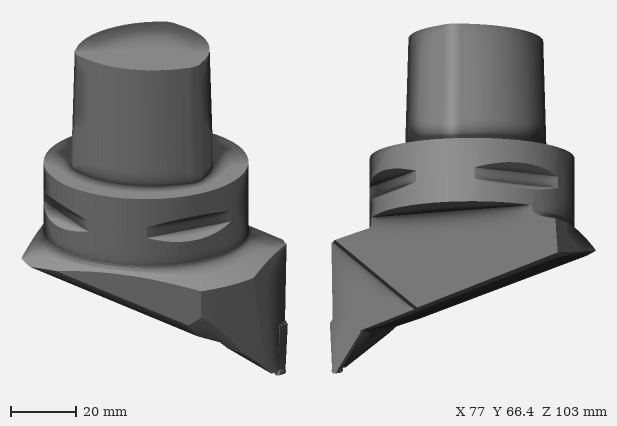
import cadquery as cq
import math


shank_height = 37.9
shank_taper = 1.1
lobe_radius = 23.5
flank_radius = 20.5
junction_radius = 22.8
junction_angle = 8.8

flange_radius = 63.0 / 2
flange_height = 22.0
groove_count = 4
groove_flat_distance = 27.9
groove_z = -11.0
groove_floor_half = 1.8
groove_mouth_half = 4.0

head_radius = 44.9
cone_angle = math.radians(15)
cone_start_z = -22.9
head_bottom = -68.0
head_left_x = -32.1
head_front_y = -34.9
cutter_size = 309.0

insert_edge = 14.6
insert_thickness = 5.0
insert_point_angle = 36.0
insert_lean = 2.5
insert_relief = 6.0
nose_radius = 0.9
nose_half_width = 0.7
nose_centre = (44.0, 0.2, -64.2)

rear_normal = (0.094, 1.0, -0.25)
rear_point = (head_left_x, 19.3, -24.4)
rear_cut_top = -19.9


def half_space(point, normal):
    """Large block lying on the side of a plane that its normal points to."""
    plane = cq.Plane(origin=point, normal=normal)
    return cq.Workplane(plane).rect(cutter_size, cutter_size).extrude(cutter_size)


def polar(radius, degrees):
    angle = math.radians(degrees)
    return (radius * math.cos(angle), radius * math.sin(angle))


def lobed_outline(workplane, inset):
    """Closed outline of three lobe arcs and three flank arcs."""
    joint = junction_radius - inset
    outline = workplane.moveTo(*polar(joint, 90 - junction_angle))
    for crown in (90, 210, 330):
        outline = outline.threePointArc(
            polar(lobe_radius - inset, crown), polar(joint, crown + junction_angle))
        outline = outline.threePointArc(
            polar(flank_radius - inset, crown + 60), polar(joint, crown + 120 - junction_angle))
    return outline.close()


def make_shank():
    root = lobed_outline(cq.Workplane("XY"), 0)
    return lobed_outline(root.workplane(offset=shank_height), shank_taper).loft(ruled=True)


def make_turned_blank():
    """Flange, neck fillet, cone and cylinder as one revolved shape."""
    rim_z = cone_start_z - math.tan(cone_angle) * (head_radius - flange_radius)
    neck_tangent = -cone_start_z - flange_height
    neck_end = (
        flange_radius + neck_tangent * math.cos(cone_angle),
        cone_start_z - neck_tangent * math.sin(cone_angle),
    )
    return (
        cq.Workplane("XZ")
        .lineTo(flange_radius, 0)
        .lineTo(flange_radius, -flange_height)
        .tangentArcPoint(neck_end, relative=False)
        .lineTo(head_radius, rim_z)
        .lineTo(head_radius, head_bottom)
        .lineTo(0, head_bottom)
        .close()
        .revolve(360, (0, 0), (0, 1))
    )


def make_gripper_groove():
    """Flared groove that cuts a flat across the flange on the +X side."""
    depth = flange_radius - groove_flat_distance
    overcut = 2.1
    flare = (groove_mouth_half - groove_floor_half) / depth * overcut
    outer_half = groove_mouth_half + flare
    outer_x = flange_radius + overcut
    return (
        cq.Workplane("XZ")
        .polyline([
            (groove_flat_distance, groove_z - groove_floor_half),
            (groove_flat_distance, groove_z + groove_floor_half),
            (outer_x, groove_z + outer_half),
            (outer_x, groove_z - outer_half),
        ])
        .close()
        .extrude(flange_radius, both=True)
    )


def cut_head_sides(body):
    """Flat left and front walls and the steep wall on the cutting side."""
    below_flange = (
        cq.Workplane("XY").workplane(offset=-flange_height)
        .rect(cutter_size, cutter_size).extrude(-cutter_size)
    )
    left = half_space((head_left_x, 0, 0), (-1, 0, 0))
    front = half_space((0, head_front_y, 0), (0, -1, 0))
    cutting_side = half_space((40.4, -20.1, -26.5), (1, -0.06, 0.07))
    for cutter in (left, front, cutting_side):
        body = body.cut(cutter.intersect(below_flange))
    return body


def cut_head_underside(body):
    """Sloping underside, the steeper flank of the prow and the planes between them."""
    underside = half_space((head_left_x, 16.8, -34.6), (-0.314, -0.21, -1))
    prow_flank = half_space((34.7, -1.1, -52.1), (-1.19, -0.14, -1))
    body = body.cut(underside.intersect(prow_flank))

    chamfer_corner = (24.1, head_front_y, -38.2)
    front_chamfer = half_space(chamfer_corner, (-0.31, -1.27, -1))
    corner_chamfer = half_space(chamfer_corner, (0.72, -1.94, -1))
    prow_corner = (0, -10.3, -61.2)
    prow_front = half_space(prow_corner, (0, -0.84, -1))
    prow_bottom = half_space(prow_corner, (0, -0.27, -1))
    for cutter in (front_chamfer, corner_chamfer, prow_front, prow_bottom):
        body = body.cut(cutter)
    return body


def cut_head_rear(body):
    """Inclined rear face and the chip recess in front of the rake face."""
    below_step = (
        cq.Workplane("XY").workplane(offset=rear_cut_top)
        .rect(cutter_size, cutter_size).extrude(-cutter_size)
    )
    body = body.cut(half_space(rear_point, rear_normal).intersect(below_step))
    recess_wall = half_space((15.2, 9.2, -47.5), (0.79, 0.58, -0.99))
    recess = half_space(nose_centre, rear_normal).intersect(recess_wall)
    return body.cut(recess.intersect(below_step))


def make_insert():
    """Relieved rhombic plate; local Y runs down the rake face, towards the nose."""
    rake = cq.Plane(origin=nose_centre, xDir=(1, -rear_normal[0], 0), normal=rear_normal)
    outer = math.radians(insert_lean)
    inner = math.radians(insert_lean + insert_point_angle)
    outer_run = (-insert_edge * math.sin(outer), -insert_edge * math.cos(outer))
    inner_run = (-insert_edge * math.sin(inner), -insert_edge * math.cos(inner))
    outer_nose = (nose_half_width * math.cos(outer), -nose_half_width * math.sin(outer))
    inner_nose = (-nose_half_width * math.cos(inner), nose_half_width * math.sin(inner))
    plate = (
        cq.Workplane(rake)
        .polyline([
            outer_nose,
            (outer_nose[0] + outer_run[0], outer_nose[1] + outer_run[1]),
            (outer_run[0] + inner_run[0], outer_run[1] + inner_run[1]),
            (inner_nose[0] + inner_run[0], inner_nose[1] + inner_run[1]),
            inner_nose,
        ])
        .close()
        .extrude(-insert_thickness, taper=insert_relief)
    )
    nose = cq.Workplane(rake).circle(nose_radius).extrude(-insert_thickness)
    return plate.union(nose)


insert = make_insert()

holder = make_turned_blank()
holder = cut_head_sides(holder)
holder = cut_head_underside(holder)
holder = cut_head_rear(holder)
groove = make_gripper_groove()
for index in range(groove_count):
    holder = holder.cut(groove.rotate((0, 0, 0), (0, 0, 1), (index + 0.5) * 360 / groove_count))
holder = holder.union(make_shank())
holder = holder.cut(insert)

result = cq.Compound.makeCompound([holder.val(), insert.val()])